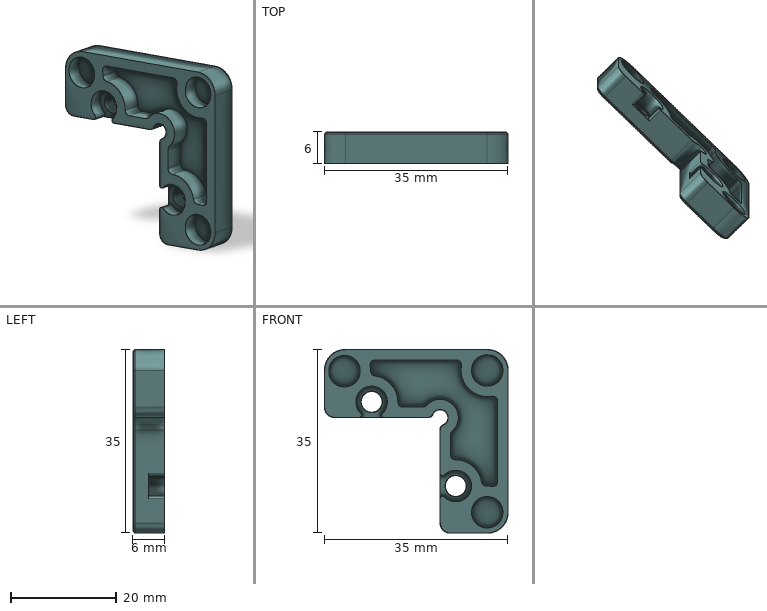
import cadquery as cq
import math

size = 35.0
thickness = 6.0
leg_width = 13.0
outer_corner_radius = 4.0
leg_end_radius = 2.0
back_chamfer = 0.4

relief_radius = 1.5
relief_blend = 1.0

screw_diameter = 4.0
counterbore_diameter = 6.0
counterbore_depth = 3.0
screw_end_offset = 9.0
screw_edge_offset = 3.0
lip_radius = 0.5

magnet_diameter = 6.0
magnet_depth = 3.3
magnet_offset = 4.0
left_magnet_x = 3.8
left_magnet_drop = 4.13

wall = 2.0
pocket_depth = 4.15
pocket_corner_radius = 1.0

inner_x = size - leg_width
inner_z = size - leg_width
screws = [
    (screw_end_offset, inner_z + screw_edge_offset),
    (inner_x + screw_edge_offset, screw_end_offset),
]
magnets = [
    (left_magnet_x, size - left_magnet_drop),
    (size - magnet_offset, size - magnet_offset),
    (size - magnet_offset, magnet_offset),
]


def prism(outline, depth):
    """Extrude an XZ outline from the front face towards the back."""
    return outline.extrude(-depth)


def cylinders(centers, diameter, depth):
    return prism(cq.Workplane("XZ").pushPoints(centers).circle(diameter / 2), depth)


def rounded_mouth(hole_radius, blend, edge_distance, depth):
    """Opening below a round hole centered on the Y axis, its two lips rounded into the hole and the edge."""
    reach = hole_radius + blend
    rise = edge_distance - blend
    spread = math.sqrt(reach**2 - rise**2)
    tangent_x = spread * hole_radius / reach
    tangent_z = -rise * hole_radius / reach
    to_hole = math.atan2(rise, -spread)
    to_edge = 1.5 * math.pi
    middle = (to_hole + to_edge) / 2
    lip_x = spread + blend * math.cos(middle)
    lip_z = -rise + blend * math.sin(middle)
    outline = (
        cq.Workplane("XZ")
        .moveTo(tangent_x, tangent_z)
        .threePointArc((lip_x, lip_z), (spread, -edge_distance))
        .lineTo(-spread, -edge_distance)
        .threePointArc((-lip_x, lip_z), (-tangent_x, tangent_z))
        .lineTo(0, 0)
        .close()
    )
    return prism(outline, depth)


def round_corners(body, corners, radius):
    """Fillet the full-thickness edges that stand at the given XZ corners."""
    for x, z in corners:
        edge = cq.NearestToPointSelector((x, thickness / 2, z))
        body = body.edges(edge).fillet(radius)
    return body


def blank():
    outline = (
        cq.Workplane("XZ")
        .moveTo(0, size)
        .lineTo(size, size)
        .lineTo(size, 0)
        .lineTo(inner_x, 0)
        .lineTo(inner_x, inner_z)
        .lineTo(0, inner_z)
        .close()
    )
    body = prism(outline, thickness)
    outer_corners = [(0, size), (size, size), (size, 0)]
    body = round_corners(body, outer_corners, outer_corner_radius)
    leg_end_corners = [(0, inner_z), (inner_x, 0)]
    body = round_corners(body, leg_end_corners, leg_end_radius)
    body = body.cut(cylinders([(inner_x, inner_z)], 2 * relief_radius, thickness))
    relief_corners = [(inner_x - relief_radius, inner_z), (inner_x, inner_z - relief_radius)]
    body = round_corners(body, relief_corners, relief_blend)
    return body.faces(">Y").edges().chamfer(back_chamfer)


def front_pocket():
    pocket_left = (left_magnet_x + screw_end_offset) / 2
    outline = (
        cq.Workplane("XZ")
        .moveTo(pocket_left, size - wall)
        .lineTo(size - wall, size - wall)
        .lineTo(size - wall, pocket_left)
        .lineTo(inner_x + wall, pocket_left)
        .lineTo(inner_x + wall, inner_z + wall)
        .lineTo(pocket_left, inner_z + wall)
        .close()
    )
    pocket = prism(outline, pocket_depth)
    pocket = pocket.cut(cylinders(magnets, magnet_diameter + 2 * wall, pocket_depth))
    pocket = pocket.cut(cylinders(screws, counterbore_diameter + 2 * wall, pocket_depth))
    relief_boss = cylinders([(inner_x, inner_z)], 2 * (relief_radius + wall), pocket_depth)
    return pocket.cut(relief_boss).edges("|Y").fillet(pocket_corner_radius)


result = blank().cut(front_pocket())
result = result.cut(cylinders(magnets, magnet_diameter, magnet_depth))
result = result.cut(cylinders(screws, screw_diameter, thickness))
result = result.cut(cylinders(screws, counterbore_diameter, counterbore_depth))
mouth = rounded_mouth(counterbore_diameter / 2, lip_radius, screw_edge_offset, counterbore_depth)
for (x, z), turn in zip(screws, (0, 90)):
    result = result.cut(mouth.rotate((0, 0, 0), (0, 1, 0), turn).translate((x, 0, z)))